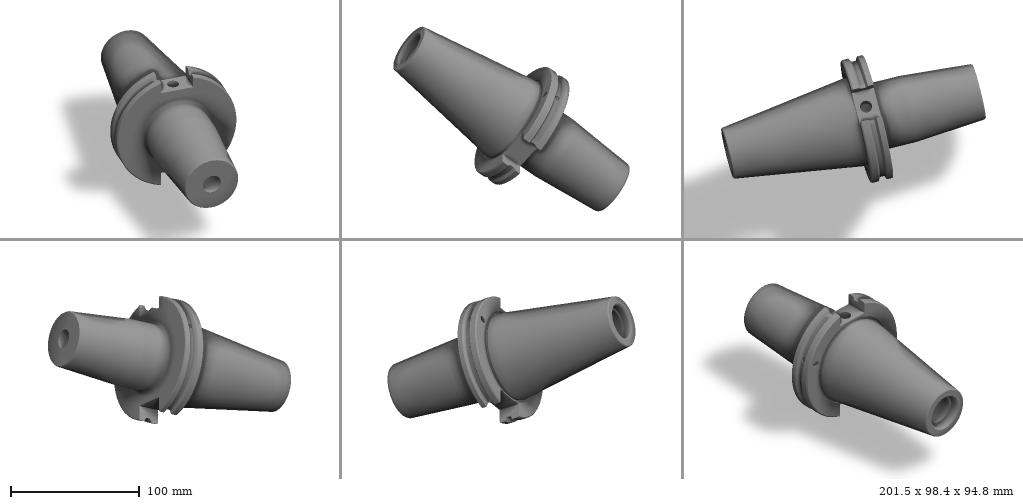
import cadquery as cq
import math

total_length = 201.5
flange_start = 103.0
flange_end = 120.5
flange_width = flange_end - flange_start

taper_slope = 7 / 48
taper_large_radius = 35.3
taper_small_radius = taper_large_radius - flange_start * taper_slope
shank_chamfer = 0.6
relief_outer_radius = 36.9
relief_inner_radius = 34.7
relief_depth = 0.8
relief_lead = 1.5
relief_edge_chamfer = 0.6
relief_wall_taper = 0.6

flange_radius = 49.2
flange_front_chamfer = 1.0
flange_back_chamfer = 0.6
flange_chamfer_height = 0.8
groove_center = 112.5
groove_floor_width = 3.6
groove_floor_radius = 46.2
groove_flank_angle = 30.0

slot_width = 26.5
upper_slot_floor = 37.7
lower_slot_floor = 35.7
dimple_diameter = 9.5
dimple_depth = 8.0
dimple_x = 111.0
drill_tip_angle = 118.0

nose_radius = 53.0 / 2
nose_fillet = 2.8
nose_straight_end = 144.0
nose_cone_angle = 4.4
nose_chamfer = 1.2
nose_chamfer_height = 0.6

mouth_radius = 14.5
counterbore_radius = 26.6 / 2
mouth_chamfer_length = 1.5
counterbore_depth = 6.5
thread_radius = 22.0 / 2
thread_depth = 46.4
bore_radius = 15.0 / 2

coolant_diameter = 5.0
coolant_pitch_radius = 42.0
coolant_angle = 20.0
coolant_tilt = 36.0
coolant_depth = 4.0
pilot_diameter = 2.5
pilot_depth = 8.0
cross_hole_diameter = 4.2
cross_hole_depth = 0.8


def cone_run(radial_step, full_angle):
    """Axial length of a cone that closes by radial_step."""
    return radial_step / math.tan(math.radians(full_angle / 2))


def make_body():
    flank = (flange_radius - groove_floor_radius) * math.tan(math.radians(groove_flank_angle))
    half_floor = groove_floor_width / 2
    nose_cone_length = total_length - nose_straight_end
    end_radius = nose_radius - nose_cone_length * math.tan(math.radians(nose_cone_angle))
    chamfer_radius = end_radius + nose_chamfer * math.tan(math.radians(nose_cone_angle))
    relief_start = flange_start - relief_lead
    rim_edge_radius = flange_radius - flange_chamfer_height
    arc_offset = nose_fillet * (1 - math.sqrt(0.5))
    return (
        cq.Workplane("XY")
        .moveTo(0, 0)
        .lineTo(0, taper_small_radius - shank_chamfer)
        .lineTo(shank_chamfer, taper_small_radius + shank_chamfer * taper_slope)
        .lineTo(relief_start, taper_large_radius - relief_lead * taper_slope)
        .lineTo(relief_start + relief_edge_chamfer, relief_inner_radius)
        .lineTo(flange_start + relief_depth, relief_inner_radius)
        .lineTo(flange_start + relief_depth, relief_outer_radius - relief_wall_taper)
        .lineTo(flange_start, relief_outer_radius)
        .lineTo(flange_start, rim_edge_radius)
        .lineTo(flange_start + flange_front_chamfer, flange_radius)
        .lineTo(groove_center - half_floor - flank, flange_radius)
        .lineTo(groove_center - half_floor, groove_floor_radius)
        .lineTo(groove_center + half_floor, groove_floor_radius)
        .lineTo(groove_center + half_floor + flank, flange_radius)
        .lineTo(flange_end - flange_back_chamfer, flange_radius)
        .lineTo(flange_end, rim_edge_radius)
        .lineTo(flange_end, nose_radius + nose_fillet)
        .threePointArc(
            (flange_end + arc_offset, nose_radius + arc_offset),
            (flange_end + nose_fillet, nose_radius),
        )
        .lineTo(nose_straight_end, nose_radius)
        .lineTo(total_length - nose_chamfer, chamfer_radius)
        .lineTo(total_length, end_radius - nose_chamfer_height)
        .lineTo(total_length, 0)
        .close()
        .revolve(360, (0, 0, 0), (1, 0, 0))
    )


def make_bore():
    tip_end = thread_depth + cone_run(thread_radius - bore_radius, drill_tip_angle)
    return (
        cq.Workplane("XY")
        .moveTo(0, 0)
        .lineTo(0, mouth_radius)
        .lineTo(mouth_chamfer_length, counterbore_radius)
        .lineTo(counterbore_depth, counterbore_radius)
        .lineTo(counterbore_depth, thread_radius)
        .lineTo(thread_depth, thread_radius)
        .lineTo(tip_end, bore_radius)
        .lineTo(total_length, bore_radius)
        .lineTo(total_length, 0)
        .close()
        .revolve(360, (0, 0, 0), (1, 0, 0))
    )


def make_slot(floor_height, side):
    """Drive slot across the flange; side is +1 above the axis and -1 below."""
    height = flange_radius - floor_height
    center = (flange_start + flange_width / 2, 0, side * (floor_height + height / 2))
    return cq.Workplane("XY").box(flange_width, slot_width, height).translate(center)


def make_dimple():
    radius = dimple_diameter / 2
    shoulder = upper_slot_floor - dimple_depth
    return (
        cq.Workplane("XZ")
        .moveTo(0, upper_slot_floor)
        .lineTo(radius, upper_slot_floor)
        .lineTo(radius, shoulder)
        .lineTo(0, shoulder - cone_run(radius, drill_tip_angle))
        .close()
        .revolve(360, (0, 0, 0), (0, 1, 0))
        .translate((dimple_x, 0, 0))
    )


def make_coolant_passage(angle):
    """Stepped blind hole slanting inward from the flange face, with a shallow pocket in the groove floor."""
    tilt = math.radians(coolant_tilt)
    start = cq.Vector(
        flange_start - coolant_diameter * math.cos(tilt),
        coolant_pitch_radius + coolant_diameter * math.sin(tilt),
        0,
    )
    direction = cq.Vector(math.cos(tilt), -math.sin(tilt), 0)
    slanted = cq.Solid.makeCylinder(
        coolant_diameter / 2, coolant_depth + coolant_diameter, start, direction
    )
    pilot = cq.Solid.makeCylinder(
        pilot_diameter / 2, pilot_depth + coolant_diameter, start, direction
    )
    pocket = cq.Solid.makeCylinder(
        cross_hole_diameter / 2,
        cross_hole_depth,
        cq.Vector(groove_center, groove_floor_radius, 0),
        cq.Vector(0, -1, 0),
    )
    tools = cq.Workplane("XY").add(slanted).add(pilot).add(pocket).combine()
    return tools.rotate((0, 0, 0), (1, 0, 0), angle)


result = make_body().cut(make_bore())
result = result.cut(make_slot(upper_slot_floor, 1))
result = result.cut(make_slot(lower_slot_floor, -1))
result = result.cut(make_dimple())
for angle in (coolant_angle, coolant_angle + 180):
    result = result.cut(make_coolant_passage(angle))